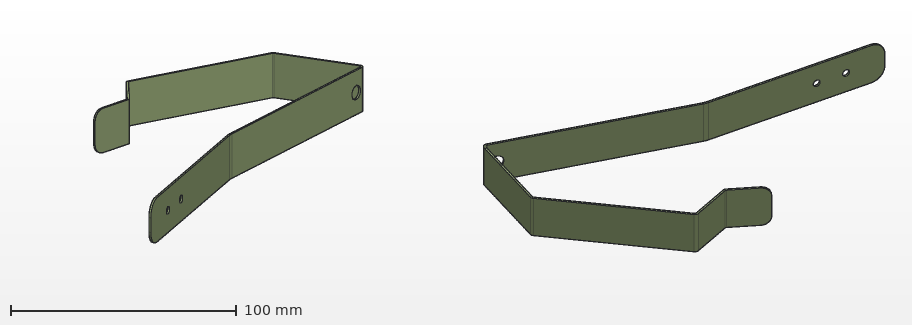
import cadquery as cq

strip_width = 21.0
thickness = 1.0
length = 191.7
half_thickness = thickness / 2

hook_tip = (-89.7, -96.0)
hook_bend = (-81.0, -77.0)
nose_bend = (-89.7, -57.3)
top_left_bend = (-43.0, -half_thickness)
top_right_bend = (0.2, -half_thickness)
knee_bend = (-23.4, -100.8)
leg_end = (-24.7, -length)
centreline = [hook_tip, hook_bend, nose_bend, top_left_bend, top_right_bend, knee_bend, leg_end]

tight_radius = 1.0
knee_radius = 10.5
inside_radii = [tight_radius, tight_radius, tight_radius, tight_radius, knee_radius]

hook_corner_radius = 5.0
leg_corner_radius = 7.0

mounting_hole_diameter = 3.5
first_hole_to_end = 19.7
mounting_hole_pitch = 15.0
corner_hole_diameter = 6.5
corner_hole_drop = 6.1


def direction(start, end):
    """Unit vector from start to end in the bend plane."""
    return cq.Vector(end[0] - start[0], end[1] - start[1], 0).normalized()


def left_normal(start, end):
    along = direction(start, end)
    return cq.Vector(-along.y, along.x, 0)


def side_points(offset):
    """Centreline corners moved sideways by offset, mitred at the bends."""
    normals = [left_normal(a, b) for a, b in zip(centreline, centreline[1:])]
    before = [normals[0]] + normals
    after = normals + [normals[-1]]
    points = []
    for point, first, second in zip(centreline, before, after):
        mitre = (first + second) * (offset / (1 + first.dot(second)))
        points.append((point[0] + mitre.x, point[1] + mitre.y))
    return points


def bent_strip():
    left = side_points(half_thickness)
    right = side_points(-half_thickness)
    strip = cq.Workplane("XY").polyline(left + right[::-1]).close().extrude(strip_width)
    for index, inside_radius in enumerate(inside_radii, start=1):
        incoming = direction(centreline[index - 1], centreline[index])
        outgoing = direction(centreline[index], centreline[index + 1])
        turns_left = incoming.cross(outgoing).z > 0
        inside, outside = (left, right) if turns_left else (right, left)
        for corner, radius in ((inside[index], inside_radius), (outside[index], inside_radius + thickness)):
            corner_edge = cq.selectors.NearestToPointSelector((*corner, strip_width / 2))
            strip = strip.edges("|Z").edges(corner_edge).fillet(radius)
    return strip


def round_end(strip, tip, radius):
    """Round the upper and lower corners at one end of the strip."""
    for height in (0, strip_width):
        corner_edge = cq.selectors.NearestToPointSelector((*tip, height))
        strip = strip.edges(corner_edge).fillet(radius)
    return strip


def hole_cutter(start, end, distance, diameter):
    """Cylinder through the straight leg from start to end, at a distance from start."""
    along = direction(start, end)
    normal = left_normal(start, end)
    centre = cq.Vector(*start, strip_width / 2) + along * distance
    cutter_length = 4 * thickness
    base = centre - normal * (cutter_length / 2)
    return cq.Solid.makeCylinder(diameter / 2, cutter_length, base, normal)


strip = bent_strip()
strip = round_end(strip, hook_tip, hook_corner_radius)
strip = round_end(strip, leg_end, leg_corner_radius)

for hole_index in range(2):
    distance = first_hole_to_end + hole_index * mounting_hole_pitch
    strip = strip.cut(hole_cutter(leg_end, knee_bend, distance, mounting_hole_diameter))

corner_hole_distance = corner_hole_drop / -direction(top_right_bend, knee_bend).y
result = strip.cut(hole_cutter(top_right_bend, knee_bend, corner_hole_distance, corner_hole_diameter))